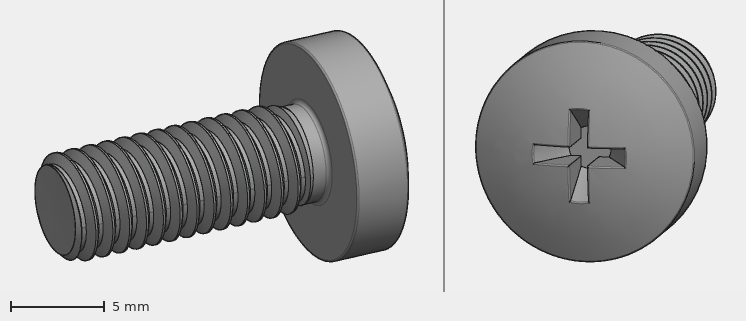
import cadquery as cq
import math


overall_length = 19.54

head_radius = 12.0 / 2
head_height = 4.55
side_height = 3.03
head_edge_radius = 0.1
dome_height = head_height - side_height
dome_radius = (head_radius**2 + dome_height**2) / (2 * dome_height)

recess_arm_width = 0.98
recess_rim_radius = 2.54
recess_rim_drop = 0.25
recess_floor_radius = 1.15
recess_depth = 2.74
recess_rim_fillet = 0.08

crest_radius = math.sqrt(2) * (recess_arm_width / 2 + recess_rim_fillet)
crest_drop = dome_radius - math.sqrt(dome_radius**2 - crest_radius**2)

thread_dia = 6.0
pitch = thread_dia / 6
crest_width = pitch / 8
root_gap = pitch / 4
flank_angle = math.radians(30)
thread_depth = (pitch - crest_width - root_gap) / 2 / math.tan(flank_angle)
thread_radius = thread_dia / 2
root_radius = thread_radius - thread_depth
core_overlap = 0.04
envelope_clearance = 0.2

shank_length = overall_length - head_height + crest_drop
neck_radius = 2.68
neck_length = pitch
neck_fillet = 0.23
head_overlap = 0.2
runout_angle = math.radians(20)
tip_radius = 2.45
tip_hollow_depth = 0.08


def make_head():
    """Cylinder with a spherical dome and lightly rounded outer edges."""
    half_way = head_radius / 2
    half_way_y = head_height - dome_radius + math.sqrt(dome_radius**2 - half_way**2)
    head = (
        cq.Workplane("XY")
        .lineTo(head_radius, 0)
        .lineTo(head_radius, side_height)
        .threePointArc((half_way, half_way_y), (0, head_height))
        .close()
        .revolve(360, (0, 0, 0), (0, 1, 0))
    )
    return head.edges("%CIRCLE").fillet(head_edge_radius)


def make_recess():
    """Two crossed arms whose outer ends follow a cone that narrows into the head."""
    rim_y = head_height - recess_rim_drop
    floor_y = head_height - recess_depth
    slope = (recess_rim_radius - recess_floor_radius) / (rim_y - floor_y)
    top_y = head_height + recess_rim_drop
    top_radius = recess_rim_radius + slope * (top_y - rim_y)
    cone = (
        cq.Workplane("XY")
        .polyline([(0, floor_y), (recess_floor_radius, floor_y), (top_radius, top_y), (0, top_y)])
        .close()
        .revolve(360, (0, 0, 0), (0, 1, 0))
    )
    arm = cq.Workplane("XY").box(2 * head_radius, 2 * top_y, recess_arm_width)
    cross = arm.union(arm.rotate((0, 0, 0), (0, 1, 0), 90))
    return cone.intersect(cross)


def make_core():
    """Neck with a fillet under the head, tapering at 45 degrees to the thread root."""
    fillet_sag = neck_fillet * (1 - math.sqrt(0.5))
    neck_drop = neck_radius - root_radius
    return (
        cq.Workplane("XY")
        .moveTo(0, head_overlap)
        .lineTo(neck_radius + neck_fillet, head_overlap)
        .lineTo(neck_radius + neck_fillet, 0)
        .threePointArc((neck_radius + fillet_sag, -fillet_sag), (neck_radius, -neck_fillet))
        .lineTo(neck_radius, -neck_length)
        .lineTo(root_radius, -neck_length - neck_drop)
        .lineTo(root_radius, -shank_length)
        .lineTo(0, -shank_length)
        .close()
        .revolve(360, (0, 0, 0), (0, 1, 0))
    )


def make_thread():
    """Right-handed helical ridge, trimmed by the run-out cone and the tip chamfer."""
    base_radius = root_radius - core_overlap
    half_crest = crest_width / 2
    half_base = half_crest + (thread_radius - base_radius) * math.tan(flank_angle)
    helix = cq.Wire.makeHelix(pitch, shank_length + pitch, base_radius)
    ridge = (
        cq.Workplane("XZ")
        .polyline([
            (base_radius, -half_base),
            (thread_radius, -half_crest),
            (thread_radius, half_crest),
            (base_radius, half_base),
        ])
        .close()
        .sweep(cq.Workplane(helix), isFrenet=True)
        .rotate((0, 0, 0), (1, 0, 0), 90)
    )
    envelope_radius = thread_radius + envelope_clearance
    runout_length = (envelope_radius - neck_radius) / math.tan(runout_angle)
    tip_chamfer = envelope_radius - tip_radius
    envelope = (
        cq.Workplane("XY")
        .polyline([
            (0, -neck_length),
            (neck_radius, -neck_length),
            (envelope_radius, -neck_length - runout_length),
            (envelope_radius, -shank_length + tip_chamfer),
            (tip_radius, -shank_length),
            (0, -shank_length),
        ])
        .close()
        .revolve(360, (0, 0, 0), (0, 1, 0))
    )
    return ridge.intersect(envelope)


def round_recess_rim(head):
    """Round the edges where the recess breaks through the dome."""
    low_y = head_height - 2 * recess_rim_drop
    high_y = head_height + recess_rim_drop
    rim_box = cq.selectors.BoxSelector(
        (-recess_rim_radius, low_y, -recess_rim_radius),
        (recess_rim_radius, high_y, recess_rim_radius),
    )
    return head.edges(rim_box).fillet(recess_rim_fillet)


def make_tip_hollow():
    """Shallow conical dish in the end face of the shank."""
    return (
        cq.Workplane("XY")
        .moveTo(0, -shank_length)
        .lineTo(root_radius, -shank_length)
        .lineTo(0, -shank_length + tip_hollow_depth)
        .close()
        .revolve(360, (0, 0, 0), (0, 1, 0))
    )


head = round_recess_rim(make_head().cut(make_recess()))
shank = make_core().union(make_thread()).cut(make_tip_hollow())
result = head.union(shank)